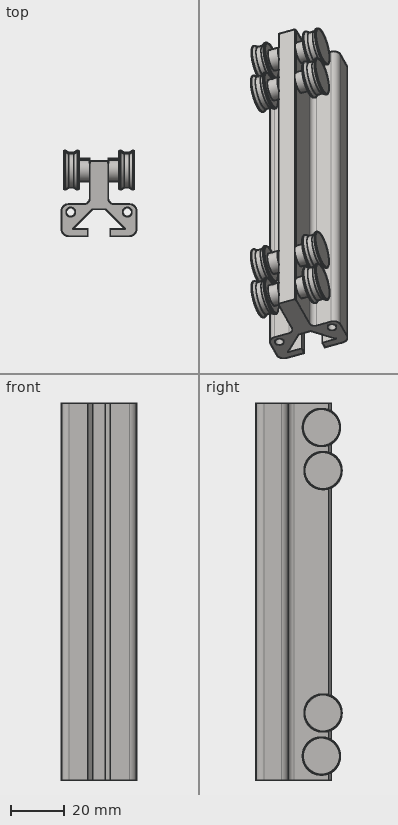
import cadquery as cq

length = 140.0
base_width = 28.0
base_depth = 12.0
front_corner_radius = 2.8
rear_corner_radius = 2.7

web_thickness = 7.0
rail_depth = 28.0
web_root_radius = 2.0
web_bevel_width = 0.35
web_bevel_depth = 0.9

slot_width = 8.2
lip_thickness = 2.75
channel_roof_width = 4.8
channel_height = 7.25

end_hole_diameter = 3.3
end_hole_spacing = 21.0
end_hole_y = 9.0

wheel_diameter = 14.1
groove_diameter = 12.58
wheel_outer_x = 13.0
wheel_width = 5.6
groove_width = 2.0
flange_slope_width = 1.2
inner_edge_chamfer = 0.4
outer_edge_chamfer = 0.25
groove_middle_x = 10.3
hub_diameter = 8.0
end_wheel_y = 24.3
inner_wheel_y = 24.9
end_wheel_inset = 9.0
wheel_pitch = 16.0


def make_rail():
    half_base = base_width / 2
    base = (
        cq.Workplane("XY")
        .moveTo(-half_base, 0)
        .lineTo(half_base, 0)
        .lineTo(half_base, base_depth)
        .lineTo(-half_base, base_depth)
        .close()
        .extrude(length)
    )
    base = base.edges("|Z and <Y").fillet(front_corner_radius)
    base = base.edges("|Z and >Y").fillet(rear_corner_radius)

    half_web = web_thickness / 2
    bevel_start_y = rail_depth - web_bevel_depth
    root_end_y = base_depth + web_root_radius
    root_end_x = half_web + web_root_radius
    web = (
        cq.Workplane("XY")
        .moveTo(-root_end_x, base_depth)
        .radiusArc((-half_web, root_end_y), -web_root_radius)
        .lineTo(-half_web, bevel_start_y)
        .lineTo(-half_web + web_bevel_width, rail_depth)
        .lineTo(half_web - web_bevel_width, rail_depth)
        .lineTo(half_web, bevel_start_y)
        .lineTo(half_web, root_end_y)
        .radiusArc((root_end_x, base_depth), -web_root_radius)
        .close()
        .extrude(length)
    )
    return base.union(web)


def make_channel():
    half_slot = slot_width / 2
    half_roof = channel_roof_width / 2
    half_floor = half_roof + channel_height
    roof_y = lip_thickness + channel_height
    return (
        cq.Workplane("XY")
        .moveTo(-half_slot, 0)
        .lineTo(-half_slot, lip_thickness)
        .lineTo(-half_floor, lip_thickness)
        .lineTo(-half_roof, roof_y)
        .lineTo(half_roof, roof_y)
        .lineTo(half_floor, lip_thickness)
        .lineTo(half_slot, lip_thickness)
        .lineTo(half_slot, 0)
        .close()
        .extrude(length)
    )


def make_end_holes():
    half_spacing = end_hole_spacing / 2
    return (
        cq.Workplane("XY")
        .pushPoints([(-half_spacing, end_hole_y), (half_spacing, end_hole_y)])
        .circle(end_hole_diameter / 2)
        .extrude(length)
    )


def make_wheel():
    """Wheel and hub on the +X side, revolved about the X axis."""
    hub_start_x = web_thickness / 2
    wheel_inner_x = wheel_outer_x - wheel_width
    half_groove = groove_width / 2
    half_mouth = half_groove + flange_slope_width
    rim = wheel_diameter / 2
    groove = groove_diameter / 2
    hub = hub_diameter / 2
    return (
        cq.Workplane("XY")
        .moveTo(hub_start_x, 0)
        .lineTo(hub_start_x, hub)
        .lineTo(wheel_inner_x, hub)
        .lineTo(wheel_inner_x, rim - inner_edge_chamfer)
        .lineTo(wheel_inner_x + inner_edge_chamfer, rim)
        .lineTo(groove_middle_x - half_mouth, rim)
        .lineTo(groove_middle_x - half_groove, groove)
        .lineTo(groove_middle_x + half_groove, groove)
        .lineTo(groove_middle_x + half_mouth, rim)
        .lineTo(wheel_outer_x - outer_edge_chamfer, rim)
        .lineTo(wheel_outer_x, rim - outer_edge_chamfer)
        .lineTo(wheel_outer_x, 0)
        .close()
        .revolve(360, (0, 0, 0), (1, 0, 0))
    )


def add_wheels(body):
    right_wheel = make_wheel()
    left_wheel = right_wheel.mirror("YZ")
    inner_wheel_inset = end_wheel_inset + wheel_pitch
    wheel_places = [
        (end_wheel_y, end_wheel_inset),
        (inner_wheel_y, inner_wheel_inset),
        (inner_wheel_y, length - inner_wheel_inset),
        (end_wheel_y, length - end_wheel_inset),
    ]
    for y, z in wheel_places:
        for wheel in (left_wheel, right_wheel):
            body = body.union(wheel.translate((0, y, z)))
    return body


rail = make_rail().cut(make_channel()).cut(make_end_holes())
result = add_wheels(rail)